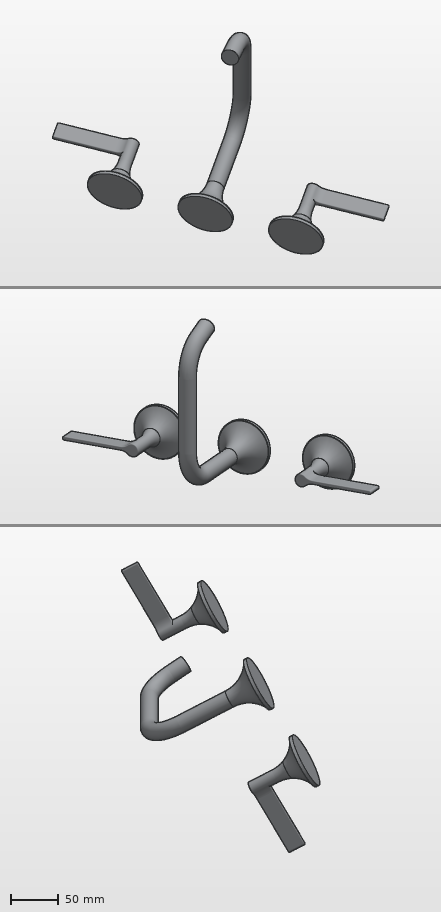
import cadquery as cq
import math

overall_width = 366.0
fitting_spacing = 100.0

flange_radius = 30.0
flange_rim_thickness = 4.0
flare_foot_radius = 29.3
flare_end_y = 37.0

tube_radius = 9.5
tube_riser_y = 134.0
tube_bend_radius = 38.0
upper_bend_start_z = 122.2
outlet_rise_angle = 20.0
outlet_length = 20.0

post_radius = 7.5
post_end_y = 66.5
handle_seat_y = 22.5
lever_width = 19.8
lever_thickness = 4.5
lever_edge_round = 1.0
blend_end_x = 14.0

lever_start_y = post_end_y - lever_width
lever_length = overall_width / 2 - fitting_spacing


def flare_point(y, neck_radius):
    """Return the (radius, y) point of the concave flare's outline at height y.

    The arc is tangent to the neck at flare_end_y and meets the rim at flare_foot_radius.
    """
    spread = flare_foot_radius - neck_radius
    drop = flare_end_y - flange_rim_thickness
    arc_radius = (spread**2 + drop**2) / (2 * spread)
    radius = neck_radius + arc_radius - math.sqrt(arc_radius**2 - (flare_end_y - y) ** 2)
    return (radius, y)


def make_flange(neck_radius, top_y):
    """Round wall flange: a flat rim and a concave flare cut off at top_y."""
    middle_y = (flange_rim_thickness + top_y) / 2
    return (
        cq.Workplane("XY")
        .lineTo(flange_radius, 0)
        .lineTo(flange_radius, flange_rim_thickness)
        .lineTo(flare_foot_radius, flange_rim_thickness)
        .threePointArc(flare_point(middle_y, neck_radius), flare_point(top_y, neck_radius))
        .lineTo(0, top_y)
        .close()
        .revolve(360, (0, 0, 0), (0, 1, 0))
    )


def make_spout():
    """Tube that runs out from its flange, turns up, and bends back to a rising outlet."""
    bend_center_y = tube_riser_y - tube_bend_radius
    upper_turn = math.radians(90 - outlet_rise_angle)
    rise = math.radians(outlet_rise_angle)

    def on_bend(center_z, angle):
        return (
            bend_center_y + tube_bend_radius * math.cos(angle),
            center_z + tube_bend_radius * math.sin(angle),
        )

    upper_bend_end = on_bend(upper_bend_start_z, upper_turn)
    outlet_end = (
        upper_bend_end[0] - outlet_length * math.cos(rise),
        upper_bend_end[1] + outlet_length * math.sin(rise),
    )
    path = (
        cq.Workplane("YZ")
        .moveTo(flare_end_y, 0)
        .lineTo(bend_center_y, 0)
        .threePointArc(on_bend(tube_bend_radius, -math.pi / 4), (tube_riser_y, tube_bend_radius))
        .lineTo(tube_riser_y, upper_bend_start_z)
        .threePointArc(on_bend(upper_bend_start_z, upper_turn / 2), upper_bend_end)
        .lineTo(*outlet_end)
    )
    tube_start = cq.Plane(origin=(0, flare_end_y, 0), xDir=(1, 0, 0), normal=(0, 1, 0))
    return cq.Workplane(tube_start).circle(tube_radius).sweep(path)


def make_post():
    """Round handle post whose foot carries on the flare of its flange and whose top lies inside the lever."""
    post_top_y = lever_start_y + lever_width / 2
    foot_middle_y = (handle_seat_y + flare_end_y) / 2
    return (
        cq.Workplane("XY")
        .moveTo(0, handle_seat_y)
        .lineTo(*flare_point(handle_seat_y, post_radius))
        .threePointArc(flare_point(foot_middle_y, post_radius), (post_radius, flare_end_y))
        .lineTo(post_radius, post_top_y)
        .lineTo(0, post_top_y)
        .close()
        .revolve(360, (0, 0, 0), (0, 1, 0))
    )


def make_lever():
    """Flat lever along +X that blends into the round end of the post by concave arcs.

    Its tip is a full half round, and its two long sides have rounded edges.
    """
    half_thickness = lever_thickness / 2
    tip_arc_x = lever_length - half_thickness

    blend_radius = (blend_end_x**2 + half_thickness**2 - post_radius**2) / (
        2 * (post_radius - half_thickness)
    )
    blend_center_z = half_thickness + blend_radius
    tangent_angle = math.atan2(blend_center_z, blend_end_x)
    tangent_x = post_radius * math.cos(tangent_angle)
    tangent_z = post_radius * math.sin(tangent_angle)
    blend_mid_angle = (tangent_angle + math.pi / 2) / 2
    blend_mid_x = blend_end_x - blend_radius * math.cos(blend_mid_angle)
    blend_mid_z = blend_center_z - blend_radius * math.sin(blend_mid_angle)

    return (
        cq.Workplane("XZ", origin=(0, post_end_y, 0))
        .moveTo(tangent_x, tangent_z)
        .threePointArc((blend_mid_x, blend_mid_z), (blend_end_x, half_thickness))
        .lineTo(tip_arc_x, half_thickness)
        .threePointArc((lever_length, 0), (tip_arc_x, -half_thickness))
        .lineTo(blend_end_x, -half_thickness)
        .threePointArc((blend_mid_x, -blend_mid_z), (tangent_x, -tangent_z))
        .threePointArc((-post_radius, 0), (tangent_x, tangent_z))
        .close()
        .extrude(lever_width)
        .edges(">Y or <Y")
        .fillet(lever_edge_round)
    )


def make_handle():
    """Post and lever as one solid, standing on the axis X = Z = 0."""
    return make_post().union(make_lever())


spout_flange = make_flange(tube_radius, flare_end_y)
spout = make_spout()

handle_flanges = []
handles = []
for side in (-1, 1):
    position = (side * fitting_spacing, 0, 0)
    handle_flanges.append(make_flange(post_radius, handle_seat_y).translate(position).val())
    handle = make_handle()
    if side < 0:
        handle = handle.mirror("YZ")
    handles.append(handle.translate(position).val())

result = cq.Compound.makeCompound([spout_flange.val(), spout.val(), *handle_flanges, *handles])